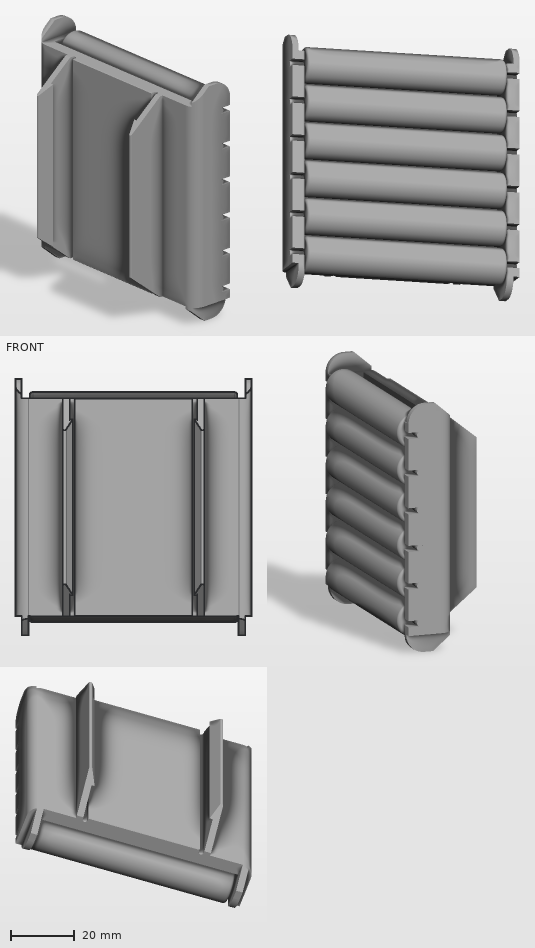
import cadquery as cq
import math


roller_count = 6
roller_pitch = 12.1
roller_diameter = 11.5
roller_length = 65.05
roller_end_fillet = 1.0
axle_diameter = 2.0
axle_y = 11.25

housing_width = 74.0
assembly_depth = 30.35
housing_height = 80.3
plate_height = 68.25

plate_thickness = 4.0
wall_thickness = 4.2
wall_depth = 15.1
outer_corner_radius = 4.0
wall_edge_radius = 1.0

ear_height = (housing_height - plate_height) / 2
ear_outer_thickness = 2.0
ear_slope_start_y = 6.1
ear_slope = 0.85

pad_width = 36.8
pad_thickness = 1.2
groove_width = 1.6
groove_depth = 0.6

hook_thickness = 2.2
hook_barb_depth = 9.1
hook_taper_angle = 28.0
hook_tip_radius = 0.6
hook_slope_start_depth = 1.0
hook_slope = 0.81

half_width = housing_width / 2
inner_half_width = half_width - wall_thickness
half_plate_height = plate_height / 2
half_height = housing_height / 2
hook_reach = assembly_depth - axle_y - roller_diameter / 2
hook_inner_x = pad_width / 2 + groove_width
hook_outer_x = hook_inner_x + hook_thickness
roller_heights = [(i - (roller_count - 1) / 2) * roller_pitch for i in range(roller_count)]


def both_sides(solid):
    """Join a right-hand feature with its mirror image in the YZ plane."""
    return solid.union(solid.mirror("YZ"))


def extrude_along_z(outline, bottom, top):
    """Extrude an outline drawn in X and Y between two heights."""
    return outline.extrude(top - bottom).translate((0, 0, bottom))


def make_channel(bottom, top):
    """U-shaped plate with side walls, rounded outside and at the wall edges."""
    height = top - bottom
    block = (
        cq.Workplane("XY")
        .box(housing_width, wall_depth, height, centered=(True, False, False))
        .edges("|Z and <Y")
        .fillet(outer_corner_radius)
    )
    cavity = (
        cq.Workplane("XY")
        .box(2 * inner_half_width, wall_depth, height, centered=(True, False, False))
        .translate((0, plate_thickness, 0))
    )
    channel = block.cut(cavity)
    inner_edges = cq.selectors.BoxSelector(
        (-inner_half_width - wall_edge_radius, wall_depth - wall_edge_radius, 0),
        (inner_half_width + wall_edge_radius, wall_depth + wall_edge_radius, height),
    )
    channel = channel.edges("|Z").edges(inner_edges).fillet(wall_edge_radius)
    return channel.translate((0, 0, bottom))


def make_ear_profile():
    """Side outline of an upper ear, drawn in Y and Z and extruded across the full width."""
    arc_center_y = wall_depth - ear_height
    arc_mid = ear_height * math.sqrt(0.5)
    return (
        cq.Workplane("YZ")
        .moveTo(0, half_plate_height)
        .lineTo(0, half_height - ear_slope_start_y * ear_slope)
        .lineTo(ear_slope_start_y, half_height)
        .lineTo(arc_center_y, half_height)
        .threePointArc(
            (arc_center_y + arc_mid, half_plate_height + arc_mid),
            (wall_depth, half_plate_height),
        )
        .close()
        .extrude(half_width, both=True)
    )


def make_ears():
    """Ears on the outer layer of the walls above the plate and on the inner layer below it."""
    profile = make_ear_profile()
    split_x = half_width - ear_outer_thickness
    outer_zone = (
        cq.Workplane("XY")
        .box(ear_outer_thickness, wall_depth, housing_height, centered=(False, False, True))
        .translate((split_x, 0, 0))
    )
    inner_zone = (
        cq.Workplane("XY")
        .box(split_x - inner_half_width, wall_depth, housing_height, centered=(False, False, True))
        .translate((inner_half_width, 0, 0))
    )
    channel_above = make_channel(half_plate_height, half_height)
    channel_below = make_channel(-half_height, -half_plate_height)
    upper_ear = channel_above.intersect(profile).intersect(outer_zone)
    lower_ear = channel_below.intersect(profile.mirror("XY")).intersect(inner_zone)
    return both_sides(upper_ear).union(both_sides(lower_ear))


def make_pad():
    """Raised center panel on the outer face of the plate."""
    pad = cq.Workplane("XY").box(pad_width, pad_thickness, plate_height)
    return pad.translate((0, -pad_thickness / 2, 0))


def make_hook():
    """Right-hand snap hook: a straight leg ending in an inward barb with a rounded tip."""
    taper = math.radians(hook_taper_angle)
    tip_center_x = hook_outer_x - hook_tip_radius
    tip_center_y = hook_tip_radius - hook_reach
    tangent_x = tip_center_x - hook_tip_radius * math.cos(taper)
    tangent_y = tip_center_y - hook_tip_radius * math.sin(taper)
    barb_x = tangent_x - (-hook_barb_depth - tangent_y) * math.tan(taper)
    outline = (
        cq.Workplane("XY")
        .moveTo(hook_inner_x, 0)
        .lineTo(hook_inner_x, -hook_barb_depth)
        .lineTo(barb_x, -hook_barb_depth)
        .lineTo(tangent_x, tangent_y)
        .threePointArc((tip_center_x, -hook_reach), (hook_outer_x, tip_center_y))
        .lineTo(hook_outer_x, 0)
        .close()
    )
    return extrude_along_z(outline, -half_plate_height, half_plate_height)


def make_front_envelope():
    """Trapezoid that slopes both ends of the hooks and the pad."""
    slope_drop = (hook_reach - hook_slope_start_depth) * hook_slope
    return (
        cq.Workplane("YZ")
        .polyline([
            (0, half_plate_height),
            (-hook_slope_start_depth, half_plate_height),
            (-hook_reach, half_plate_height - slope_drop),
            (-hook_reach, slope_drop - half_plate_height),
            (-hook_slope_start_depth, -half_plate_height),
            (0, -half_plate_height),
        ])
        .close()
        .extrude(half_width, both=True)
    )


def make_grooves():
    """Round-bottomed relief grooves in the plate between the pad and the hooks."""
    groove = (
        cq.Workplane("XY")
        .center((pad_width + groove_width) / 2, groove_depth - groove_width / 2)
        .circle(groove_width / 2)
    )
    return both_sides(extrude_along_z(groove, -half_plate_height, half_plate_height))


def make_axle(z):
    """Cylinder along X at a roller axis, reaching both outer faces of the walls."""
    axle = cq.Workplane("YZ").circle(axle_diameter / 2).extrude(housing_width)
    return axle.translate((-half_width, axle_y, z))


def make_axle_slot(z):
    """Round-ended slot through both walls at one roller, open at the back."""
    slot_depth = wall_depth - axle_y
    entry = (
        cq.Workplane("XY")
        .box(housing_width, slot_depth, axle_diameter)
        .translate((0, axle_y + slot_depth / 2, z))
    )
    return make_axle(z).union(entry)


def make_housing():
    """Channel with ears, pad, hooks and grooves, slotted for the axles."""
    front_features = make_pad().union(both_sides(make_hook())).intersect(make_front_envelope())
    channel = make_channel(-half_plate_height, half_plate_height)
    body = channel.union(make_ears()).union(front_features).cut(make_grooves())
    for z in roller_heights:
        body = body.cut(make_axle_slot(z))
    return body


def make_roller(z):
    """Roller with rounded ends and its axle."""
    barrel = (
        cq.Workplane("YZ")
        .circle(roller_diameter / 2)
        .extrude(roller_length)
        .edges()
        .fillet(roller_end_fillet)
        .translate((-roller_length / 2, axle_y, z))
    )
    return barrel.union(make_axle(z))


housing = make_housing()
rollers = [make_roller(z) for z in roller_heights]

result = cq.Compound.makeCompound([housing.val(), *[roller.val() for roller in rollers]])